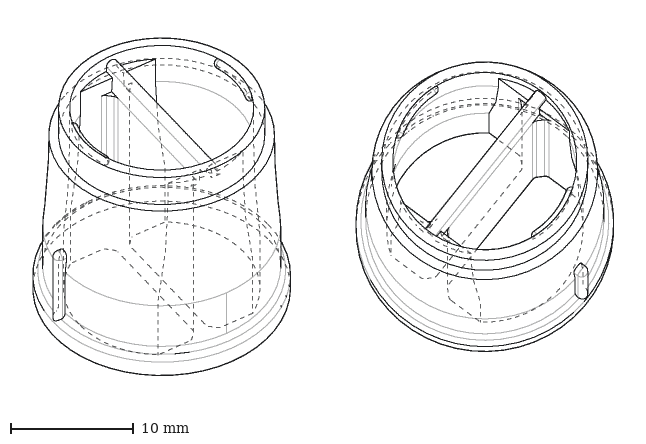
import cadquery as cq
height = 20.0
flange_radius = 10.5
flange_edge_z = 1.5
skirt_radius = 9.7
skirt_start_z = 2.5
flare_bottom_z = 7.0
flare_top_z = 17.0
shoulder_radius = 9.2
neck_radius = 8.4

flare_spread = skirt_radius - shoulder_radius
flare_drop = flare_top_z - flare_bottom_z
flare_arc_radius = (flare_spread**2 + flare_drop**2) / (2 * flare_spread)

bore_radius = 7.5
bore_flare_top_z = 16.0
bore_flare_bottom_z = bore_flare_top_z - flare_drop
skirt_bore_radius = bore_radius + flare_spread

pad_face_x = 6.55
pad_top_z = 18.5
web_half_thickness = 0.6
web_draft_z = 17.0
web_corner_chamfer = 0.75
web_corner_fillet = 0.5
rod_radius = 0.5
rod_z = 19.0

rib_radius = 0.5
rib_outer_radius = 10.45
rib_top_z = 9.0
bead_radius = 0.45
bead_z = 19.53
bead_half_angle = 18.0


def revolve_about_z(half_profile):
    """Close an XZ half profile and turn it into a solid of revolution."""
    return half_profile.close().revolve(360, (0, 0), (0, 1))


def make_shell():
    """Flange, S-shaped step, straight skirt, flare and neck, all solid."""
    step_middle = ((flange_radius + skirt_radius) / 2, (flange_edge_z + skirt_start_z) / 2)
    half_profile = (
        cq.Workplane("XZ")
        .lineTo(flange_radius, 0)
        .lineTo(flange_radius, flange_edge_z)
        .tangentArcPoint(step_middle, relative=False)
        .tangentArcPoint((skirt_radius, skirt_start_z), relative=False)
        .lineTo(skirt_radius, flare_bottom_z)
        .radiusArc((shoulder_radius, flare_top_z), flare_arc_radius)
        .lineTo(neck_radius, flare_top_z)
        .lineTo(neck_radius, height)
        .lineTo(0, height)
    )
    return revolve_about_z(half_profile)


def make_bore():
    """Hollow of the shell, open at both ends."""
    half_profile = (
        cq.Workplane("XZ")
        .lineTo(skirt_bore_radius, 0)
        .lineTo(skirt_bore_radius, bore_flare_bottom_z)
        .radiusArc((bore_radius, bore_flare_top_z), flare_arc_radius)
        .lineTo(bore_radius, height)
        .lineTo(0, height)
    )
    return revolve_about_z(half_profile)


def block(size_x, size_y, bottom_z, top_z):
    """Box centred on the axis between two heights."""
    return cq.Workplane("XY", origin=(0, 0, bottom_z)).rect(size_x, size_y).extrude(top_z - bottom_z)


def upright_edges_near_web(windows, reach_y):
    """Upright window edges that lie within reach_y of the web's middle plane."""
    near_web = cq.selectors.BoxSelector(
        (-skirt_radius, -reach_y, 0), (skirt_radius, reach_y, web_draft_z)
    )
    return windows.edges("|Z").edges(near_web)


def make_web_windows():
    """Openings on both sides of the web, with chamfered and blended inside corners."""
    windows = block(2 * pad_face_x, 2 * skirt_radius, 0, web_draft_z)
    windows = windows.cut(block(2 * skirt_radius, 2 * web_half_thickness, 0, web_draft_z))
    chamfer_reach = web_half_thickness + web_corner_chamfer / 2
    windows = upright_edges_near_web(windows, chamfer_reach).chamfer(web_corner_chamfer)
    fillet_reach = web_half_thickness + 2 * web_corner_chamfer
    return upright_edges_near_web(windows, fillet_reach).fillet(web_corner_fillet)


def make_web_top():
    """Upper part of the web, narrowing to its rounded rod edge."""
    return (
        cq.Workplane("YZ", origin=(-skirt_radius, 0, 0))
        .moveTo(-web_half_thickness, web_draft_z)
        .lineTo(web_half_thickness, web_draft_z)
        .lineTo(rod_radius, rod_z)
        .threePointArc((0, rod_z + rod_radius), (-rod_radius, rod_z))
        .close()
        .extrude(2 * skirt_radius)
    )


def make_crossbar():
    """Pads and web, running past the bore wall so they can be trimmed to it."""
    blank = block(2 * skirt_radius, 2 * skirt_radius, 0, pad_top_z)
    upper_window = block(2 * pad_face_x, 2 * skirt_radius, web_draft_z, pad_top_z)
    return blank.cut(make_web_windows()).cut(upper_window).union(make_web_top())


def make_rib():
    """Upright rib with a round front and a domed top, reaching back into the shell."""
    rib_y = rib_radius - rib_outer_radius
    rib_root_depth = -rib_y - shoulder_radius
    dome_z = rib_top_z - rib_radius
    post = cq.Workplane("XY").center(0, rib_y).circle(rib_radius).extrude(dome_z)
    dome = cq.Workplane("XY").sphere(rib_radius).translate((0, rib_y, dome_z))
    root = (
        cq.Workplane("XZ", origin=(0, rib_y, 0))
        .moveTo(-rib_radius, 0)
        .lineTo(rib_radius, 0)
        .lineTo(rib_radius, dome_z)
        .threePointArc((0, rib_top_z), (-rib_radius, dome_z))
        .close()
        .extrude(-rib_root_depth)
    )
    return post.union(dome).union(root)


def make_bead(middle_angle):
    """Round-ended bead following the bore wall, centred on the given angle."""
    bead = (
        cq.Workplane("XZ")
        .center(bore_radius, bead_z)
        .circle(bead_radius)
        .revolve(2 * bead_half_angle, (-bore_radius, 0), (-bore_radius, 1))
    )
    cap = cq.Workplane("XY").sphere(bead_radius, angle3=180)
    start_cap = cap.rotate((0, 0, 0), (0, 0, 1), 180).translate((bore_radius, 0, bead_z))
    end_cap = cap.translate((bore_radius, 0, bead_z)).rotate((0, 0, 0), (0, 0, 1), 2 * bead_half_angle)
    bead = bead.union(start_cap, clean=False).union(end_cap, clean=False)
    return bead.rotate((0, 0, 0), (0, 0, 1), middle_angle - bead_half_angle)


bore = make_bore()
result = make_shell().union(make_rib()).cut(bore)
result = result.union(make_crossbar().intersect(bore))
for bead_angle in (90, 270):
    result = result.union(make_bead(bead_angle), clean=False)